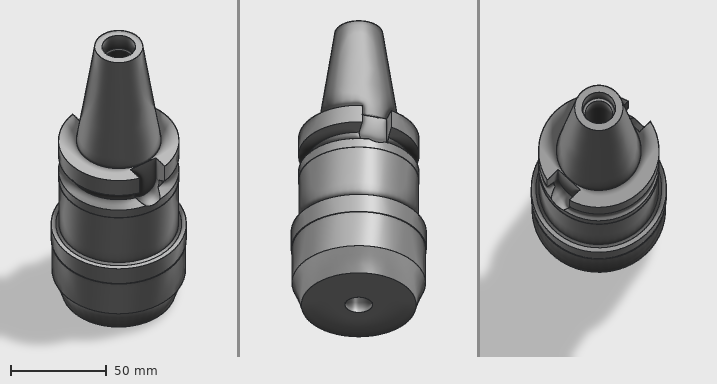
import cadquery as cq

total_height = 170.4
collar_radius = 35.35

nose_end_radius = 30.0
nose_mid_radius = 32.0
nose_height = 13.8
nut_radius = 35.0
nut_top = 35.1
collar_top = 45.8

body_radius = 31.4
body_top = 78.2
flange_radius = 31.5
foot_radius = 32.9
foot_height = 0.9

groove_radius = 26.5
groove_bottom = 83.7
groove_floor_bottom = 86.5
groove_floor_top = 90.8
groove_top = 94.0

flange_top = 104.5
shank_radius = 22.2
shank_land_height = 0.9
shank_tip_radius = 12.6

bore_radius = 7.2
counterbore_radius = 8.7
counterbore_depth = 9.2

slot_width = 16.0
slot_bottom = 82.3
slot_floor_x = 22.3


def make_holder():
    """Revolve the outer half profile about Z."""
    profile = (
        cq.Workplane("XZ")
        .lineTo(nose_end_radius, 0)
        .threePointArc((nose_mid_radius, nose_height / 2), (nut_radius, nose_height))
        .lineTo(nut_radius, nut_top)
        .lineTo(collar_radius, nut_top)
        .lineTo(collar_radius, collar_top)
        .lineTo(foot_radius, collar_top)
        .lineTo(body_radius, collar_top + foot_height)
        .lineTo(body_radius, body_top)
        .lineTo(flange_radius, body_top)
        .lineTo(flange_radius, groove_bottom)
        .lineTo(groove_radius, groove_floor_bottom)
        .lineTo(groove_radius, groove_floor_top)
        .lineTo(flange_radius, groove_top)
        .lineTo(flange_radius, flange_top)
        .lineTo(shank_radius, flange_top)
        .lineTo(shank_radius, flange_top + shank_land_height)
        .lineTo(shank_tip_radius, total_height)
        .lineTo(0, total_height)
        .close()
    )
    return profile.revolve(360, (0, 0, 0), (0, 1, 0))


def make_bore():
    """Through bore with a wider counterbore at the shank tip."""
    bore = cq.Workplane("XY").circle(bore_radius).extrude(total_height)
    counterbore = (
        cq.Workplane("XY", origin=(0, 0, total_height - counterbore_depth))
        .circle(counterbore_radius)
        .extrude(counterbore_depth)
    )
    return bore.union(counterbore)


def make_drive_slot(side):
    """Round-bottomed slot cut from the flange top; side is +1 or -1 along X."""
    half_width = slot_width / 2
    arc_center_z = slot_bottom + half_width
    return (
        cq.Workplane("YZ", origin=(side * slot_floor_x, 0, 0))
        .moveTo(-half_width, flange_top)
        .lineTo(-half_width, arc_center_z)
        .threePointArc((0, slot_bottom), (half_width, arc_center_z))
        .lineTo(half_width, flange_top)
        .close()
        .extrude(side * (collar_radius - slot_floor_x))
    )


result = make_holder().cut(make_bore())
for side in (-1, 1):
    result = result.cut(make_drive_slot(side))